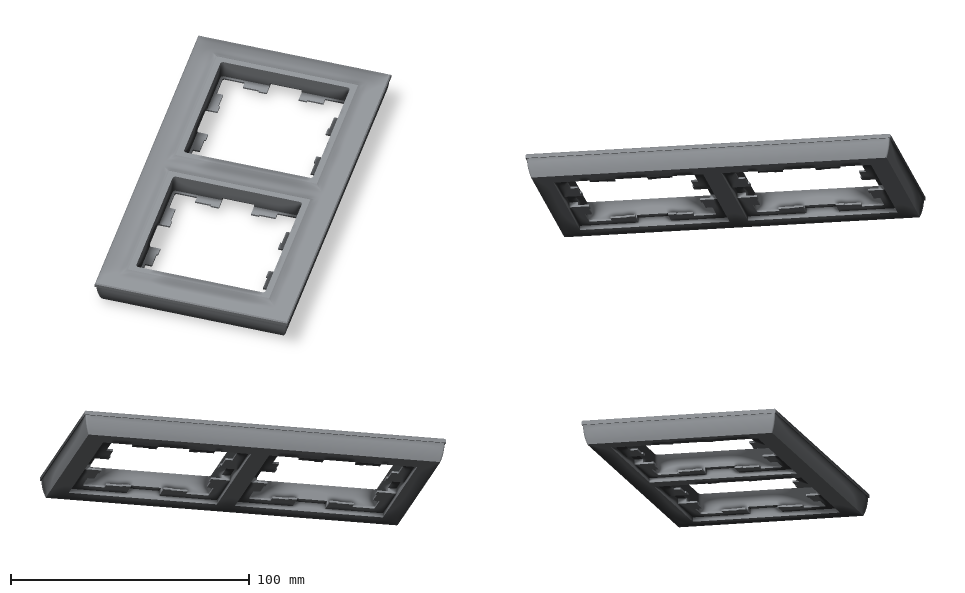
import cadquery as cq
import math

LENGTH = 155.3
WIDTH = 84.2
HEIGHT = 10.9
GANG_PITCH = 71.5

FACE_Z = 10.0
BAND_BOTTOM_Z = 8.0
EDGE_CHAMFER = 0.5
SKIRT_INSET = 0.5
SKIRT_RADIUS = 21.7
SKIRT_CORNER_RADIUS = 0.6

MOULDING_OUTER = 67.7
MOULDING_INNER = 61.7

OPENING = 56.4
OPENING_CORNER_RADIUS = 1.2

LEDGE_TOP_Z = 2.6
LEDGE_THICKNESS = 0.8
NOTCH_TOP_Z = 4.0
RECESS = 63.7
LIP_OPENING = 54.2
LIP_CORNER_RADIUS = 1.0

TAB_START = 7.0
TAB_STEP = 10.5
TAB_END = 17.5
TAB_TIP = 23.6
TAB_SHOULDER = 24.2


def square_prism(size, bottom_z, top_z, corner_radius):
    """Square prism centred on the Z axis, with rounded vertical edges."""
    prism = cq.Workplane("XY").workplane(offset=bottom_z).rect(size, size).extrude(top_z - bottom_z)
    return prism.edges("|Z").fillet(corner_radius)


def skirt_profile(plane, top_width, run):
    """Prism across the plane whose two sides curve inwards towards the bottom."""
    top = top_width / 2

    def side_x(z):
        drop = BAND_BOTTOM_Z - z
        return top - SKIRT_RADIUS + math.sqrt(SKIRT_RADIUS**2 - drop**2)

    middle_z = BAND_BOTTOM_Z / 2
    return (
        cq.Workplane(plane)
        .moveTo(-top, BAND_BOTTOM_Z)
        .lineTo(top, BAND_BOTTOM_Z)
        .threePointArc((side_x(middle_z), middle_z), (side_x(0), 0))
        .lineTo(-side_x(0), 0)
        .threePointArc((-side_x(middle_z), middle_z), (-top, BAND_BOTTOM_Z))
        .close()
        .extrude(run, both=True)
    )


def make_skirt():
    """Solid body below the plate, curved on all four sides."""
    across = skirt_profile("XZ", WIDTH - 2 * SKIRT_INSET, LENGTH)
    along = skirt_profile("YZ", LENGTH - 2 * SKIRT_INSET, LENGTH)
    skirt = across.intersect(along)
    return skirt.edges("not (|X or |Y)").fillet(SKIRT_CORNER_RADIUS)


def make_plate():
    """Overhanging plate with a chamfered upper edge."""
    base = cq.Workplane("XY").workplane(offset=BAND_BOTTOM_Z)
    plate = base.rect(WIDTH, LENGTH).extrude(FACE_Z - BAND_BOTTOM_Z)
    return plate.faces(">Z").edges().chamfer(EDGE_CHAMFER)


def moulding_profile(plane):
    """Prism with a concave cove on both sides, each tangent to the plate face."""
    outer = MOULDING_OUTER / 2
    inner = MOULDING_INNER / 2
    rise = HEIGHT - FACE_Z
    run = outer - inner
    cove_radius = (run**2 + rise**2) / (2 * rise)
    cove_middle_x = outer - run / 2
    cove_middle_z = FACE_Z + cove_radius - math.sqrt(cove_radius**2 - (run / 2) ** 2)
    return (
        cq.Workplane(plane)
        .moveTo(-outer, BAND_BOTTOM_Z)
        .lineTo(-outer, FACE_Z)
        .threePointArc((-cove_middle_x, cove_middle_z), (-inner, HEIGHT))
        .lineTo(inner, HEIGHT)
        .threePointArc((cove_middle_x, cove_middle_z), (outer, FACE_Z))
        .lineTo(outer, BAND_BOTTOM_Z)
        .close()
        .extrude(LENGTH, both=True)
    )


def make_moulding():
    """Raised square with coved, mitred sides."""
    return moulding_profile("XZ").intersect(moulding_profile("YZ"))


def make_tab():
    """One stepped tab on the +X side of a window, reaching out to the recess wall."""
    return (
        cq.Workplane("XY")
        .workplane(offset=LEDGE_TOP_Z - LEDGE_THICKNESS)
        .moveTo(RECESS / 2, TAB_START)
        .lineTo(TAB_TIP, TAB_START)
        .lineTo(TAB_TIP, TAB_STEP)
        .lineTo(TAB_SHOULDER, TAB_STEP)
        .lineTo(TAB_SHOULDER, TAB_END)
        .lineTo(RECESS / 2, TAB_END)
        .close()
        .extrude(LEDGE_THICKNESS)
    )


def make_ledge():
    """Four corner lips and eight tabs, leaving a gap in the middle of each side."""
    bottom_z = LEDGE_TOP_Z - LEDGE_THICKNESS
    ledge = cq.Workplane("XY").workplane(offset=bottom_z).rect(RECESS, RECESS).extrude(LEDGE_THICKNESS)
    ledge = ledge.cut(square_prism(LIP_OPENING, bottom_z, LEDGE_TOP_Z, LIP_CORNER_RADIUS))
    for gap_x, gap_y in ((RECESS, 2 * TAB_END), (2 * TAB_END, RECESS)):
        gap = cq.Workplane("XY").workplane(offset=bottom_z).rect(gap_x, gap_y).extrude(LEDGE_THICKNESS)
        ledge = ledge.cut(gap)
    tab = make_tab()
    for side_tab in (tab, tab.mirror("XZ")):
        for angle in (0, 90, 180, 270):
            ledge = ledge.union(side_tab.rotate((0, 0, 0), (0, 0, 1), angle))
    return ledge


def make_window_cut():
    """Window opening and wall-side recess, less the ledge, with a notch between each pair of tabs."""
    opening = square_prism(OPENING, 0, HEIGHT, OPENING_CORNER_RADIUS)
    recess = cq.Workplane("XY").rect(RECESS, RECESS).extrude(LEDGE_TOP_Z)
    window_cut = opening.union(recess).cut(make_ledge())
    notch_width = 2 * TAB_START
    for notch_x, notch_y in ((RECESS, notch_width), (notch_width, RECESS)):
        window_cut = window_cut.union(cq.Workplane("XY").rect(notch_x, notch_y).extrude(NOTCH_TOP_Z))
    return window_cut


result = make_skirt().union(make_plate())
moulding = make_moulding()
window_cut = make_window_cut()
for gang_y in (-GANG_PITCH / 2, GANG_PITCH / 2):
    result = result.union(moulding.translate((0, gang_y, 0)))
    result = result.cut(window_cut.translate((0, gang_y, 0)))